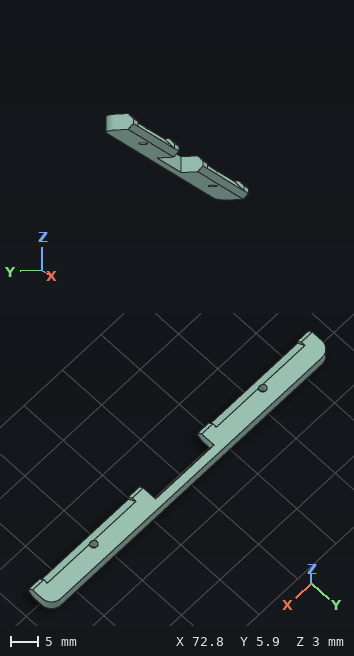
import cadquery as cq

length = 72.8
depth = 5.9
height = 3.0
bridge_depth = 1.75
arm_length = 28.8
corner_radius = 2.5
edge_chamfer = 1.0
tab_length = 2.9
hole_diameter = 1.5
hole_setback = 2.5

bevel_size = height - edge_chamfer
arm_centers = [side * (length - arm_length) / 2 for side in (-1, 1)]


def make_bar():
    """Bar with rounded rear corners and chamfered front edges."""
    bar = cq.Workplane("XY").box(length, depth, height, centered=(True, False, False))
    bar = bar.edges("|Z and >Y").fillet(corner_radius)
    return bar.faces("<Y").edges("|X").chamfer(edge_chamfer)


def make_gap():
    """Rectangular opening between the arms, in front of the bridge."""
    gap_length = length - 2 * arm_length
    gap_depth = depth - bridge_depth
    return cq.Workplane("XY").box(gap_length, gap_depth, height, centered=(True, False, False))


def make_bevel(center_x):
    """Triangular wedge removed from the upper front of one arm."""
    bevel_length = arm_length - 2 * tab_length
    return (
        cq.Workplane("YZ", origin=(center_x, 0, 0))
        .moveTo(0, edge_chamfer)
        .lineTo(bevel_size, height)
        .lineTo(0, height)
        .close()
        .extrude(bevel_length / 2, both=True)
    )


def make_hole(center_x):
    """Vertical through hole in the middle of one arm."""
    return cq.Workplane("XY").center(center_x, hole_setback).circle(hole_diameter / 2).extrude(height)


result = make_bar().cut(make_gap())
for arm_center in arm_centers:
    result = result.cut(make_bevel(arm_center))
    result = result.cut(make_hole(arm_center))

result = result.translate((0, -depth / 2, 0))